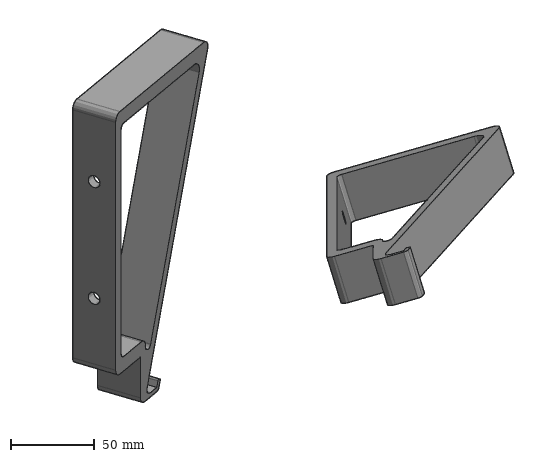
import cadquery as cq
import math

width = 30.0
height = 213.0
corner_depth = 110.0
outer_radius = 5.0

front_wall = 6.5
beam_thickness = 10.0
strut_thickness_y = 6.0
opening_front_radius = 3.0
opening_rear_radius = 6.0

shelf_bottom = 33.0
stem_front = 29.0
stem_foot = 6.0
strut_foot_y = stem_front + stem_foot
notch_front = strut_foot_y
notch_radius = 3.0
notch_lip_radius = 5.0

hook_floor = 3.0
hook_gap = 13.0
lip_thickness = 3.0
lip_top = 7.8
hook_throat_radius = 4.0
hook_heel_radius = 3.0
lip_tip_radius = 1.0

hole_diameter = 8.0
lower_hole_z = 83.0
hole_spacing = 80.0

slope = (corner_depth - strut_foot_y) / (height - hook_floor)
lean = math.atan(slope)


def strut_inner_y(z):
    """Y of the strut's inner face at height z."""
    return strut_foot_y - strut_thickness_y + slope * (z - hook_floor)


def strut_inner_z(y):
    """Height at which the strut's inner face reaches y."""
    return hook_floor + (y + strut_thickness_y - strut_foot_y) / slope


def rounded_prism(corners):
    """Extrude (y, z, radius) corners across the width, rounding those with a radius."""
    outline = [(y, z) for y, z, _ in corners]
    prism = cq.Workplane("YZ").polyline(outline).close().extrude(width / 2, both=True)
    for y, z, radius in corners:
        if radius > 0:
            corner_edge = cq.NearestToPointSelector((0, y, z))
            prism = prism.edges("|X").edges(corner_edge).fillet(radius)
    return prism


def make_body():
    """Outer profile of the frame, stem and hook."""
    lip_inner_y = strut_foot_y + hook_gap
    lip_top_inner_y = lip_inner_y + slope * (lip_top - hook_floor)
    lip_top_outer_y = lip_top_inner_y + lip_thickness * math.cos(lean)
    lip_outer_z = lip_top - lip_thickness * math.sin(lean)
    heel_y = lip_top_outer_y - slope * lip_outer_z
    return rounded_prism([
        (0, height, outer_radius),
        (0, shelf_bottom, outer_radius),
        (stem_front, shelf_bottom, 0),
        (stem_front, 0, outer_radius),
        (heel_y, 0, hook_heel_radius),
        (lip_top_outer_y, lip_outer_z, lip_tip_radius),
        (lip_top_inner_y, lip_top, lip_tip_radius),
        (lip_inner_y, hook_floor, 0),
        (strut_foot_y, hook_floor, hook_throat_radius),
        (corner_depth, height, outer_radius),
    ])


def make_opening():
    """Frame opening with the rounded notch at the foot of the strut."""
    top = height - beam_thickness
    floor = shelf_bottom + beam_thickness
    return rounded_prism([
        (front_wall, top, opening_front_radius),
        (front_wall, floor, opening_front_radius),
        (notch_front, floor, notch_lip_radius),
        (notch_front, strut_inner_z(notch_front), notch_radius),
        (strut_inner_y(top), top, opening_rear_radius),
    ])


def make_screw_holes():
    """Two holes along Y through the front wall only."""
    centers = [(0, lower_hole_z), (0, lower_hole_z + hole_spacing)]
    return (
        cq.Workplane("XZ")
        .pushPoints(centers)
        .circle(hole_diameter / 2)
        .extrude(-front_wall)
    )


result = make_body().cut(make_opening()).cut(make_screw_holes())